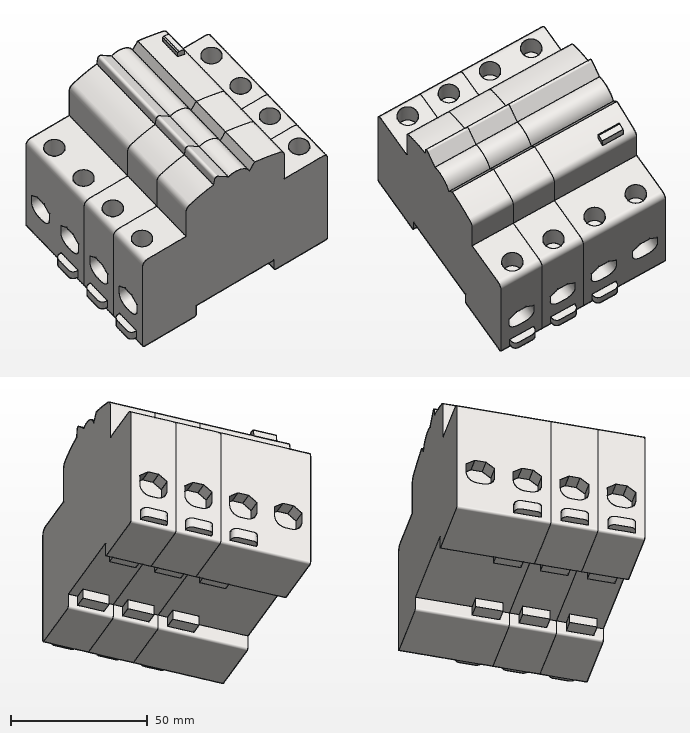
import cadquery as cq
import math


pole_width = 17.8
height = 74.45
half_depth = 42.4
shelf_height = 50.0
shoulder_half_depth = 22.5
shelf_radius = 2.5
shoulder_radius = 3.0
foot_radius = 1.0

slot_half_width = 17.8
slot_height = 6.0

front_dome_edge = (-shoulder_half_depth, 66.4)
front_dome_middle = (-16.6, 68.9)
front_dome_top = (-9.9, 70.65)
rear_dome_edge = (shoulder_half_depth, 66.3)
rear_dome_middle = (15.8, 68.4)
rear_dome_top = (8.9, 70.0)

drum_radius = 7.0
drum_center_z = 64.0
groove_y = 6.5
lever_root_y = -3.1
lever_tip_radius = 1.0
lever_tip_y = -8.5
lever_tip_z = height - lever_tip_radius
lever_front_lean = math.radians(8)

screw_hole_diameter = 7.8
screw_hole_depth = 10.0
screw_hole_y = half_depth - shelf_radius - screw_hole_diameter / 2
terminal_width = 10.8
terminal_bottom = 13.3
terminal_height = 10.6
terminal_depth = 5.6
terminal_flat_width = 4.2
terminal_chamfer_height = 2.4
terminal_radius = 4.3

clip_tip_y = 45.16
clip_inner_y = 12.8
clip_bottom = 2.0
clip_root_width = 10.4
clip_tip_width = 9.8
clip_radius = 2.2

indicator_width = 9.1
indicator_rear_foot = (20.5, 66.0)
indicator_rear_top = (20.05, 70.0)
indicator_front_top = (17.7, 70.65)
indicator_front_side = (17.1, 70.2)
indicator_front_foot = (17.1, 66.0)


def drum_point(y):
    return (y, drum_center_z + math.sqrt(drum_radius ** 2 - y ** 2))


def lever_tip_point(angle):
    """Point on the lever tip, at an angle from straight up towards +Y."""
    return (lever_tip_y + lever_tip_radius * math.sin(angle), lever_tip_z + lever_tip_radius * math.cos(angle))


def lever_slope_angle():
    """Incline of the line that leaves the drum at the lever root and runs tangent to the lever tip."""
    root_y, root_z = drum_point(lever_root_y)
    run = root_y - lever_tip_y
    rise = lever_tip_z - root_z
    return math.atan2(rise, run) + math.asin(lever_tip_radius / math.hypot(run, rise))


def side_profile(start_x):
    return (
        cq.Workplane("YZ", origin=(start_x, 0, 0))
        .moveTo(-half_depth, 0)
        .lineTo(-half_depth, shelf_height)
        .lineTo(-shoulder_half_depth, shelf_height)
        .lineTo(*front_dome_edge)
        .threePointArc(front_dome_middle, front_dome_top)
        .lineTo(*lever_tip_point(lever_front_lean - math.pi / 2))
        .threePointArc(lever_tip_point(0), lever_tip_point(lever_slope_angle()))
        .lineTo(*drum_point(lever_root_y))
        .threePointArc(drum_point(0), drum_point(groove_y))
        .lineTo(*rear_dome_top)
        .threePointArc(rear_dome_middle, rear_dome_edge)
        .lineTo(shoulder_half_depth, shelf_height)
        .lineTo(half_depth, shelf_height)
        .lineTo(half_depth, 0)
        .lineTo(slot_half_width, 0)
        .lineTo(slot_half_width, slot_height)
        .lineTo(-slot_half_width, slot_height)
        .lineTo(-slot_half_width, 0)
        .close()
    )


def round_long_edges(shell, middle_x, corners, radius):
    """Round the edges that run along X through the given (y, z) corners."""
    for y, z in corners:
        shell = shell.edges(cq.NearestToPointSelector((middle_x, y, z))).fillet(radius)
    return shell


def housing_blank(start_x, width):
    blank = side_profile(start_x).extrude(width)
    middle_x = start_x + width / 2
    shelf_corners = [(side * half_depth, shelf_height) for side in (-1, 1)]
    foot_corners = [(side * y, 0) for side in (-1, 1) for y in (half_depth, slot_half_width)]
    blank = round_long_edges(blank, middle_x, shelf_corners, shelf_radius)
    blank = round_long_edges(blank, middle_x, [front_dome_edge, rear_dome_edge], shoulder_radius)
    return round_long_edges(blank, middle_x, foot_corners, foot_radius)


def screw_hole(pole_x):
    return (
        cq.Workplane("XY", origin=(pole_x, -screw_hole_y, shelf_height - screw_hole_depth))
        .circle(screw_hole_diameter / 2)
        .extrude(screw_hole_depth)
    )


def terminal_opening(pole_x):
    """Wire opening in the front face: rounded lower corners, chamfered upper corners."""
    half_width = terminal_width / 2
    half_flat = terminal_flat_width / 2
    chamfer_start = terminal_height - terminal_chamfer_height
    return (
        cq.Workplane("XZ", origin=(pole_x, -half_depth + terminal_depth, terminal_bottom))
        .moveTo(-half_width, 0)
        .lineTo(half_width, 0)
        .lineTo(half_width, chamfer_start)
        .lineTo(half_flat, terminal_height)
        .lineTo(-half_flat, terminal_height)
        .lineTo(-half_width, chamfer_start)
        .close()
        .extrude(terminal_depth)
        .faces("<Z")
        .edges("|Y")
        .fillet(terminal_radius)
    )


def rail_clip(pole_x):
    """Clip at the front, reaching from inside the rail slot to a rounded finger tab."""
    half_root = clip_root_width / 2
    half_tip = clip_tip_width / 2
    return (
        cq.Workplane("XY", origin=(pole_x, 0, clip_bottom))
        .moveTo(-half_root, -clip_inner_y)
        .lineTo(-half_root, -half_depth)
        .lineTo(-half_tip, -clip_tip_y)
        .lineTo(half_tip, -clip_tip_y)
        .lineTo(half_root, -half_depth)
        .lineTo(half_root, -clip_inner_y)
        .close()
        .extrude(slot_height - clip_bottom)
        .edges("|Z and <Y")
        .fillet(clip_radius)
    )


def status_indicator(pole_x):
    outline = [
        indicator_rear_foot,
        indicator_rear_top,
        indicator_front_top,
        indicator_front_side,
        indicator_front_foot,
    ]
    return (
        cq.Workplane("YZ", origin=(pole_x - indicator_width / 2, 0, 0))
        .polyline(outline)
        .close()
        .extrude(indicator_width)
    )


def mirrored_to_rear(feature):
    return feature.mirror("XZ")


def breaker_module(first_pole, pole_count, clip_poles):
    """One solid spanning pole_count poles, with rail clips on the poles in clip_poles."""
    body = housing_blank(first_pole * pole_width, pole_count * pole_width)
    for pole in range(first_pole, first_pole + pole_count):
        pole_x = (pole + 0.5) * pole_width
        for opening in (screw_hole(pole_x), terminal_opening(pole_x)):
            body = body.cut(opening).cut(mirrored_to_rear(opening))
        if pole in clip_poles:
            clip = rail_clip(pole_x)
            body = body.union(clip).union(mirrored_to_rear(clip))
    return body


double_module = breaker_module(0, 2, [1]).union(status_indicator(pole_width / 2))

single_modules = [breaker_module(pole, 1, [pole]) for pole in (2, 3)]

result = cq.Compound.makeCompound([double_module.val(), *[module.val() for module in single_modules]])